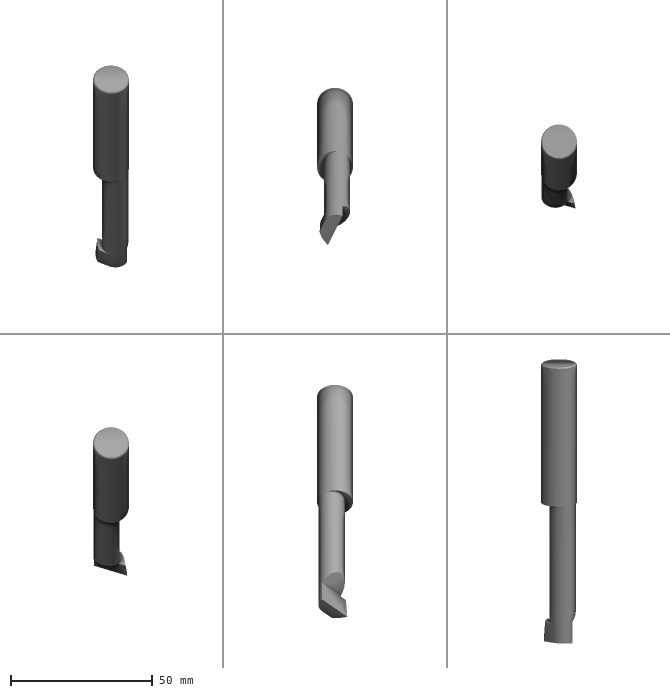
import cadquery as cq
import math

total_length = 101.6
shank_diameter = 12.7
shank_length = 50.8
shank_chamfer = 0.4

neck_diameter = 9.3
neck_radius = neck_diameter / 2
neck_x = (shank_diameter - neck_diameter) / 2
neck_length = total_length - shank_length

flat_top = 8.2

head_height = 7.6
tip_x = -6.1
flank_end = (-4.3, -3.4)
flank_bulge = 0.1
nose_x = -2.9
side_relief = 5.0

end_relief_x = 2.0
end_relief_y = 5.0

cutter_size = 40.6


def make_shank():
    shank = cq.Workplane("XY").workplane(offset=neck_length).circle(shank_diameter / 2)
    return shank.extrude(shank_length).faces(">Z").chamfer(shank_chamfer)


def make_neck():
    neck = cq.Workplane("XY").center(neck_x, 0).circle(neck_radius).extrude(neck_length)
    run_out = (
        cq.Workplane("YZ")
        .moveTo(0, 0)
        .lineTo(0, flat_top)
        .lineTo(neck_diameter, flat_top + neck_diameter)
        .lineTo(neck_diameter, 0)
        .close()
        .extrude(cutter_size / 2, both=True)
    )
    return neck.cut(run_out)


def head_outline(workplane, shift):
    """Head section with its cutting side moved by shift along X."""
    end_x, end_y = flank_end
    chord_x = end_x - tip_x
    chord = math.hypot(chord_x, end_y)
    middle_x = (tip_x + end_x) / 2 + flank_bulge * end_y / chord
    middle_y = end_y / 2 - flank_bulge * chord_x / chord
    return (
        workplane.moveTo(tip_x + shift, 0)
        .threePointArc((middle_x + shift, middle_y), (end_x + shift, end_y))
        .lineTo(nose_x + shift, -neck_radius)
        .lineTo(neck_x, -neck_radius)
        .lineTo(neck_x, 0)
        .close()
    )


def make_head():
    top_shift = head_height * math.tan(math.radians(side_relief))
    foot = head_outline(cq.Workplane("XY"), 0)
    return head_outline(foot.workplane(offset=head_height), top_shift).loft(ruled=True)


def make_end_relief():
    """Block below the sloping end face, which passes through the cutting tip."""
    normal = (
        -math.tan(math.radians(end_relief_x)),
        math.tan(math.radians(end_relief_y)),
        1,
    )
    end_plane = cq.Plane(origin=(tip_x, 0, 0), xDir=(1, 0, -normal[0]), normal=normal)
    return cq.Workplane(end_plane).rect(cutter_size, cutter_size).extrude(-cutter_size / 2)


tool = make_shank().union(make_neck()).union(make_head())
result = tool.cut(make_end_relief())